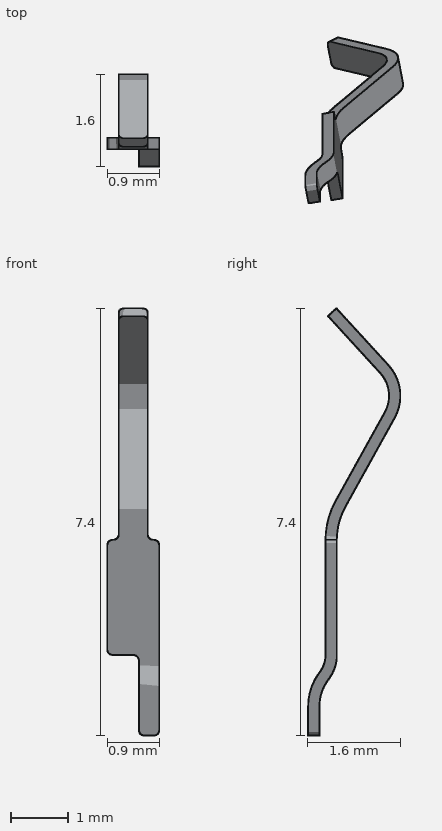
import cadquery as cq
import math

height = 7.4
thickness = 0.2
corner_radius = 0.095

plate_width = 0.9
plate_height = 2.0

foot_width = 0.355
foot_straight = 0.51
foot_angle = 35.0
foot_lower_radius = 0.955
foot_slope_length = 0.075
foot_upper_radius = 0.48

arm_width = 0.5
arm_angle = 29.0
arm_root_radius = 1.38
arm_slope_length = 1.76
tip_angle = 42.5
elbow_radius = 0.585


def rise(radius, angle):
    """Height gained by a bend between vertical and the given tilt."""
    return radius * math.sin(math.radians(angle))


def setback(radius, angle):
    """Sideways shift of a bend between vertical and the given tilt."""
    return radius * (1 - math.cos(math.radians(angle)))


plate_bottom = (
    foot_straight
    + rise(foot_lower_radius, foot_angle)
    + rise(foot_slope_length, 90 - foot_angle)
    + rise(foot_upper_radius, foot_angle)
)
plate_top = plate_bottom + plate_height
elbow_top = (
    plate_top
    + rise(arm_root_radius, arm_angle)
    + rise(arm_slope_length, 90 - arm_angle)
    + rise(elbow_radius, arm_angle)
    + rise(elbow_radius, tip_angle)
)
tip_front_height = height - rise(thickness, tip_angle)
tip_length = (tip_front_height - elbow_top) / math.cos(math.radians(tip_angle))
foot_front = -(
    setback(foot_lower_radius, foot_angle)
    + rise(foot_slope_length, foot_angle)
    + setback(foot_upper_radius, foot_angle)
)

bends = [
    (foot_straight, foot_angle, foot_lower_radius),
    (foot_slope_length, -foot_angle, foot_upper_radius),
    (plate_height, arm_angle, arm_root_radius),
    (arm_slope_length, -(arm_angle + tip_angle), elbow_radius),
]


def move(point, distance, tilt):
    """Shift a (Y, Z) point along a direction tilted from +Z toward +Y."""
    angle = math.radians(tilt)
    return (point[0] + distance * math.sin(angle), point[1] + distance * math.cos(angle))


def bent_strip():
    """Constant-thickness side profile, extruded across the plate width."""
    front = (foot_front, 0.0)
    tilt = 0.0
    profile = cq.Workplane("YZ").moveTo(*front)
    back_points = [move(front, thickness, 90)]
    for length, angle, radius in bends:
        start = move(front, length, tilt)
        side = math.copysign(90, angle)
        center = move(start, radius, tilt + side)
        middle = move(center, -radius, tilt + angle / 2 + side)
        end = move(center, -radius, tilt + angle + side)
        profile = profile.lineTo(*start).threePointArc(middle, end)
        back_points += [
            move(start, thickness, tilt + 90),
            move(middle, thickness, tilt + angle / 2 + 90),
            move(end, thickness, tilt + angle + 90),
        ]
        tilt += angle
        front = end

    tip = move(front, tip_length, tilt)
    profile = profile.lineTo(*tip).lineTo(*move(tip, thickness, tilt + 90))
    while len(back_points) > 1:
        end = back_points.pop()
        middle = back_points.pop()
        start = back_points.pop()
        profile = profile.lineTo(*end).threePointArc(middle, start)
    profile = profile.lineTo(*back_points[0]).close()
    return profile.extrude(plate_width / 2, both=True)


def front_outline():
    """Front silhouette with rounded corners, extruded through the full depth."""
    depth = height
    half_plate = plate_width / 2
    half_arm = arm_width / 2
    foot_left = half_plate - foot_width
    arm_end = height + thickness
    outline = [
        (foot_left, 0),
        (half_plate, 0),
        (half_plate, plate_top),
        (half_arm, plate_top),
        (half_arm, arm_end),
        (-half_arm, arm_end),
        (-half_arm, plate_top),
        (-half_plate, plate_top),
        (-half_plate, plate_bottom),
        (foot_left, plate_bottom),
    ]
    blank = cq.Workplane("XZ").polyline(outline).close().extrude(depth / 2, both=True)
    return blank.edges("|Y").fillet(corner_radius)


contact = bent_strip().intersect(front_outline())

tip_edges = contact.faces(">Z").edges("not |X")
result = tip_edges.fillet(corner_radius)